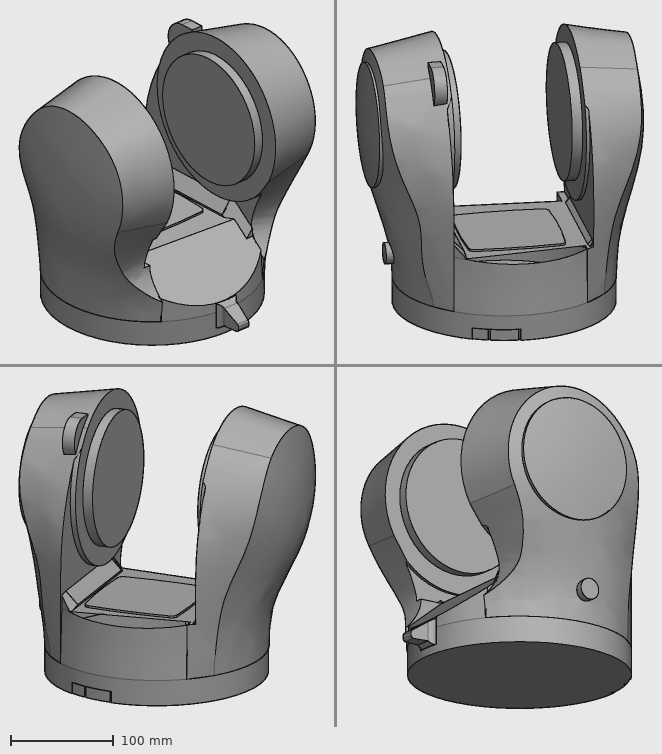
import cadquery as cq
import math

OVERALL_LENGTH = 242.8
OVERALL_HEIGHT = 269.33
BASE_RADIUS = 218.02 / 2
BASE_HEIGHT = 26.0
BODY_TOP_RADIUS = 106.2
FLOOR_Z = 81.5
FLOOR_FRONT_X = -84.0
FLOOR_FRONT_ANGLE = 6.5
FLOOR_FRONT_SLOPE = 8.0
FLOOR_REAR_X = 50.0
FLOOR_REAR_ANGLE = -3.4
FLOOR_REAR_SLOPE = 38.0
CUT_SIZE = 400.0

CHAMFER_FRONT_X = -72.7
CHAMFER_REAR_X = 42.0
CHAMFER_END_X = 72.0

PAD_CENTER_X = -24.3
PAD_SIZE = 95.0
PAD_SIDE_BOW = 2.3
PAD_CORNER_RADIUS = 6.0
PAD_HEIGHT = 2.0

JOINT_X = 25.7
JOINT_Z = 182.6
HUB_RADIUS = 135.0 / 2
BOSS_RADIUS = 87.0
HEAD_INNER_RADIUS = OVERALL_HEIGHT - JOINT_Z
HEAD_OUTER_RADIUS = 71.2
HEAD_START_ANGLE = -28.7
HEAD_END_ANGLE = 129.0
WEDGE_INNER_Y = 60.5
WEDGE_OUTER_Y = 140.0
ARM_FOOT_Z = 20.0
FOOT_FACE_Y = 66.0

NEAR_FACES = {"arm": 73.2, "boss": 69.8, "hub": 59.5, "chamfer": 4.5, "lip": 0.0}
FAR_FACES = {"arm": 66.0, "boss": 60.5, "hub": 50.4, "chamfer": 12.5, "lip": 1.8}

INNER_BACK = [(-92.0, 26.0), (-90.5, 93.0), (-88.5, 133.0), (-82.8, 163.0), (-71.8, 191.0)]
OUTER_BACK = [(-14.0, 26.0), (-35.5, 93.0), (-47.5, 133.0), (-51.7, 163.0), (-49.5, 191.0)]
INNER_NECK = [(84.0, 115.5), (74.4, 95.0), (71.0, 77.8), (77.0, 62.4), (89.0, 48.7), (106.0, 36.7)]
OUTER_NECK = [(75.9, 119.6), (69.6, 95.0), (69.4, 77.8), (77.0, 62.4), (89.0, 48.7), (106.0, 36.7)]
NECK_FOOT_X = 130.0

SKIN_FOOT = [
    (ARM_FOOT_Z, 0.0, BASE_RADIUS, BASE_RADIUS),
    (47.0, 0.0, 110.2, 111.7),
    (95.0, 12.0, 121.0, 130.0),
]
SKIN_HEAD = [
    (136.0, 26.0, 134.9, 165.0),
    (182.0, JOINT_X, 138.95, 228.0),
    (225.0, JOINT_X, 134.9, 260.0),
    (272.0, JOINT_X, 125.0, 260.0),
]
SKIN_HALF_WIDTH = 108.0
SKIN_INNER_HALF_WIDTH = 130.0

FAR_HEAD_INSET = 3.5
COVER_RADIUS = 61.3
COVER_CREST_Y = 136.0
COVER_DOME_RADIUS = 314.0
COVER_DEPTH = 25.0

LUG_X = -30.4
LUG_Z = 239.1
LUG_RADIUS = 20.6
LUG_END_X = -15.8
LUG_Y = (65.7, 78.3)

PLUG_X = 0.0
PLUG_RADIUS = 10.5
PLUG_Z = 57.8
PLUG_END_Y = 118.5

POINTER_TIP_X = OVERALL_LENGTH - BASE_RADIUS
POINTER_ROOT_X = 100.0
POINTER_NECK_X = 115.0
POINTER_FLARE_X = 108.5
POINTER_ROOT_Z = (8.6, 36.7)
POINTER_ROOT_TOP_X = 106.0
POINTER_ROOT_BOTTOM_X = 109.7
POINTER_NECK_Z = (12.0, 31.5)
POINTER_TIP_TOP_Z = 19.5
POINTER_TIP_ROUNDING = 3.0
POINTER_FLARE_HALF_WIDTH = 13.0
POINTER_NECK_HALF_WIDTH = 8.6
POINTER_TIP_HALF_WIDTH = 6.7
POINTER_FLARE_MID = (111.2, 9.9)

RECESS_Y = (4.0, 50.0)
RECESS_HEIGHT = 11.5
RECESS_DEPTH = 1.0
GROOVE_YS = (4.0, 33.0)
GROOVE_WIDTH = 2.0
GROOVE_DEPTH = 3.0


def cylinder_y(x, z, radius, y_start, y_end):
    """Cylinder along Y between two Y positions."""
    plane = cq.Plane(origin=(x, y_start, z), xDir=(1, 0, 0), normal=(0, 1, 0))
    return cq.Workplane(plane).circle(radius).extrude(y_end - y_start)


def box(x, y, z):
    """Box given by its (low, high) range on each axis."""
    return cq.Workplane("XY").box(
        x[1] - x[0], y[1] - y[0], z[1] - z[0], centered=False
    ).translate((x[0], y[0], z[0]))


def floor_slope_cutter(bend_x, angle, slope):
    """Block above a plane that falls away from the floor on the +X side of the bend."""
    block = box((-CUT_SIZE, CUT_SIZE), (-CUT_SIZE, CUT_SIZE), (0, CUT_SIZE))
    block = block.rotate((0, 0, 0), (0, 1, 0), slope)
    return block.rotate((0, 0, 0), (0, 0, 1), angle).translate((bend_x, 0, FLOOR_Z))


def central_body():
    """Turntable base and the tapered body whose top is the bent floor."""
    base = cq.Workplane("XY").circle(BASE_RADIUS).extrude(BASE_HEIGHT)
    body = (
        cq.Workplane("XY").workplane(offset=BASE_HEIGHT).circle(BASE_RADIUS)
        .workplane(offset=FLOOR_Z - BASE_HEIGHT).circle(BODY_TOP_RADIUS).loft()
    )
    body = body.intersect(box((-CUT_SIZE, CUT_SIZE), (-FOOT_FACE_Y, FOOT_FACE_Y), (0, CUT_SIZE)))
    body = body.cut(floor_slope_cutter(FLOOR_FRONT_X, FLOOR_FRONT_ANGLE, -FLOOR_FRONT_SLOPE))
    body = body.cut(floor_slope_cutter(FLOOR_REAR_X, FLOOR_REAR_ANGLE, FLOOR_REAR_SLOPE))
    return base.union(body)


def floor_pad():
    """Raised square pad with bowed sides and rounded corners."""
    half = PAD_SIZE / 2
    bow = half + PAD_SIDE_BOW
    return (
        cq.Workplane("XY").center(PAD_CENTER_X, 0).workplane(offset=FLOOR_Z)
        .moveTo(-half, -half)
        .threePointArc((0, -bow), (half, -half))
        .threePointArc((bow, 0), (half, half))
        .threePointArc((0, bow), (-half, half))
        .threePointArc((-bow, 0), (-half, -half))
        .close().extrude(PAD_HEIGHT).edges("|Z").fillet(PAD_CORNER_RADIUS)
    )


def head_point(radius, angle):
    """Point (x, z) on a circle about the joint axis."""
    return (
        JOINT_X + radius * math.cos(math.radians(angle)),
        JOINT_Z + radius * math.sin(math.radians(angle)),
    )


def arm_outline(y, radius, back, neck):
    """Side outline of an arm in the plane at y: head arc, back, foot and neck."""
    def at(point):
        return cq.Vector(point[0], y, point[1])

    def head_tangent(angle):
        return cq.Vector(-math.sin(math.radians(angle)), 0, math.cos(math.radians(angle)))

    neck_top = at(head_point(radius, HEAD_START_ANGLE))
    crown = at(head_point(radius, (HEAD_START_ANGLE + HEAD_END_ANGLE) / 2))
    back_top = at(head_point(radius, HEAD_END_ANGLE))
    back_foot = at((back[0][0], ARM_FOOT_Z))
    neck_foot = at((NECK_FOOT_X, ARM_FOOT_Z))
    foot_direction = at(back[1]) - at(back[0])
    back_tangents = [foot_direction, head_tangent(HEAD_END_ANGLE) * -1]
    back_edge = cq.Edge.makeSpline([at(p) for p in back] + [back_top], back_tangents)
    neck_edge = cq.Edge.makeSpline([neck_top] + [at(p) for p in neck] + [neck_foot])
    return cq.Wire.assembleEdges([
        cq.Edge.makeThreePointArc(neck_top, crown, back_top),
        back_edge,
        cq.Edge.makeLine(at(back[0]), back_foot),
        cq.Edge.makeLine(back_foot, neck_foot),
        neck_edge,
    ])


def arm_wedge():
    """Tapered block between the inner and the outer side outline of an arm."""
    inner = arm_outline(WEDGE_INNER_Y, HEAD_INNER_RADIUS, INNER_BACK, INNER_NECK)
    outer = arm_outline(WEDGE_OUTER_Y, HEAD_OUTER_RADIUS, OUTER_BACK, OUTER_NECK)
    return cq.Workplane(cq.Solid.makeLoft([inner, outer], True))


def arm_skin(head_inset):
    """Block whose rounded side is the outer skin of an arm, for the +Y side."""
    head = [(z, x, y - head_inset, radius) for z, x, y, radius in SKIN_HEAD]
    sections = []
    for z, crest_x, crest_y, radius in SKIN_FOOT + head:
        drop = radius - math.sqrt(radius**2 - SKIN_HALF_WIDTH**2)
        left, right = crest_x - SKIN_HALF_WIDTH, crest_x + SKIN_HALF_WIDTH
        section = (
            cq.Workplane("XY").workplane(offset=z)
            .moveTo(crest_x - SKIN_INNER_HALF_WIDTH, 0)
            .lineTo(left, crest_y - drop)
            .threePointArc((crest_x, crest_y), (right, crest_y - drop))
            .lineTo(crest_x + SKIN_INNER_HALF_WIDTH, 0)
            .close()
        )
        sections.append(section.wire().val())
    return cq.Workplane(cq.Solid.makeLoft(sections))


def arm(faces, head_inset):
    """One arm with its boss and hub, built on the +Y side."""
    wedge = arm_wedge()
    skin = arm_skin(head_inset)
    outside = box((-CUT_SIZE, CUT_SIZE), (faces["arm"], CUT_SIZE), (BASE_HEIGHT, CUT_SIZE))
    below_floor = box((-CUT_SIZE, CUT_SIZE), (FOOT_FACE_Y, CUT_SIZE), (BASE_HEIGHT, FLOOR_Z))
    outside = outside.union(below_floor)
    shape = wedge.intersect(skin).intersect(outside)
    boss = cylinder_y(JOINT_X, JOINT_Z, BOSS_RADIUS, faces["boss"], faces["arm"])
    hub = cylinder_y(JOINT_X, JOINT_Z, HUB_RADIUS, faces["hub"], faces["arm"])
    return shape.union(boss.intersect(wedge)).union(hub)


def floor_chamfer(faces):
    """Sloped fillet between the floor and the face of an arm, on the +Y side."""
    face = faces["arm"]
    foot = face - faces["chamfer"]
    foot_z = FLOOR_Z + faces["lip"]
    section = [
        (foot, BASE_HEIGHT),
        (foot, foot_z),
        (face, foot_z + faces["chamfer"]),
        (face, BASE_HEIGHT),
    ]

    def stretch(x_start, x_end, bend_x, slope):
        bar = (
            cq.Workplane("YZ").workplane(offset=-CUT_SIZE)
            .polyline(section).close().extrude(2 * CUT_SIZE)
        )
        bar = bar.rotate((bend_x, 0, FLOOR_Z), (bend_x, 1, FLOOR_Z), slope)
        return bar.intersect(box((x_start, x_end), (0, CUT_SIZE), (BASE_HEIGHT, CUT_SIZE)))

    bar = stretch(CHAMFER_FRONT_X, CHAMFER_REAR_X, CHAMFER_FRONT_X, 0)
    front = stretch(-BASE_RADIUS, CHAMFER_FRONT_X, CHAMFER_FRONT_X, -FLOOR_FRONT_SLOPE)
    rear = stretch(CHAMFER_REAR_X, CHAMFER_END_X, CHAMFER_REAR_X, FLOOR_REAR_SLOPE)
    round_limit = cq.Workplane("XY").circle(BODY_TOP_RADIUS).extrude(CUT_SIZE)
    return bar.union(front).union(rear).intersect(round_limit)


def cover():
    """Domed round cover on the outer side of the +Y arm."""
    blank = cylinder_y(JOINT_X, JOINT_Z, COVER_RADIUS, COVER_CREST_Y - COVER_DEPTH, COVER_CREST_Y)
    dome = cq.Workplane("XY").sphere(COVER_DOME_RADIUS)
    return blank.intersect(dome.translate((JOINT_X, COVER_CREST_Y - COVER_DOME_RADIUS, JOINT_Z)))


def stop_lug():
    """Round lug whose flat top runs back into the head of the arm."""
    disc = cylinder_y(LUG_X, LUG_Z, LUG_RADIUS, *LUG_Y)
    return disc.union(box((LUG_X, LUG_END_X), LUG_Y, (LUG_Z, LUG_Z + LUG_RADIUS)))


def pointer():
    """Tapered nose at the rim of the base, pointing to +X."""
    bottom, top = POINTER_ROOT_Z
    neck_bottom, neck_top = POINTER_NECK_Z
    side = (
        cq.Workplane("XZ")
        .polyline([
            (POINTER_ROOT_X, bottom), (POINTER_ROOT_BOTTOM_X, bottom),
            (POINTER_NECK_X, neck_bottom), (POINTER_TIP_X, neck_bottom),
            (POINTER_TIP_X, POINTER_TIP_TOP_Z), (POINTER_NECK_X, neck_top),
            (POINTER_ROOT_TOP_X, top), (POINTER_ROOT_X, top),
        ])
        .close().extrude(BASE_RADIUS, both=True)
        .edges("|Y and >X").fillet(POINTER_TIP_ROUNDING)
    )
    mid_x, mid_y = POINTER_FLARE_MID
    plan = (
        cq.Workplane("XY")
        .moveTo(POINTER_ROOT_X, -POINTER_FLARE_HALF_WIDTH)
        .lineTo(POINTER_FLARE_X, -POINTER_FLARE_HALF_WIDTH)
        .threePointArc((mid_x, -mid_y), (POINTER_NECK_X, -POINTER_NECK_HALF_WIDTH))
        .lineTo(POINTER_TIP_X, -POINTER_TIP_HALF_WIDTH)
        .lineTo(POINTER_TIP_X, POINTER_TIP_HALF_WIDTH)
        .lineTo(POINTER_NECK_X, POINTER_NECK_HALF_WIDTH)
        .threePointArc((mid_x, mid_y), (POINTER_FLARE_X, POINTER_FLARE_HALF_WIDTH))
        .lineTo(POINTER_ROOT_X, POINTER_FLARE_HALF_WIDTH)
        .close().extrude(CUT_SIZE)
    )
    return side.intersect(plan)


def rim_band(depth, y_range):
    """Thin piece of the rim on the -X side, to be cut away."""
    ring = cq.Workplane("XY").circle(BASE_RADIUS).circle(BASE_RADIUS - depth).extrude(RECESS_HEIGHT)
    return ring.intersect(box((-CUT_SIZE, 0), y_range, (0, RECESS_HEIGHT)))


def rim_recess():
    """Shallow recess in the rim with two deeper upright grooves."""
    recess = rim_band(RECESS_DEPTH, RECESS_Y)
    for y in GROOVE_YS:
        recess = recess.union(rim_band(GROOVE_DEPTH, (y, y + GROOVE_WIDTH)))
    return recess


def mirrored(shape):
    """Carry a shape from the +Y side to the -Y side."""
    return shape.mirror("XZ")


far_arm = arm(FAR_FACES, FAR_HEAD_INSET).union(cover()).union(stop_lug())
near_arm = mirrored(arm(NEAR_FACES, 0.0))
plug = cylinder_y(PLUG_X, PLUG_Z, PLUG_RADIUS, FAR_FACES["arm"], PLUG_END_Y)

result = (
    central_body()
    .union(floor_pad())
    .union(floor_chamfer(FAR_FACES))
    .union(mirrored(floor_chamfer(NEAR_FACES)))
    .union(far_arm)
    .union(near_arm)
    .union(plug)
    .union(pointer())
    .cut(rim_recess())
)